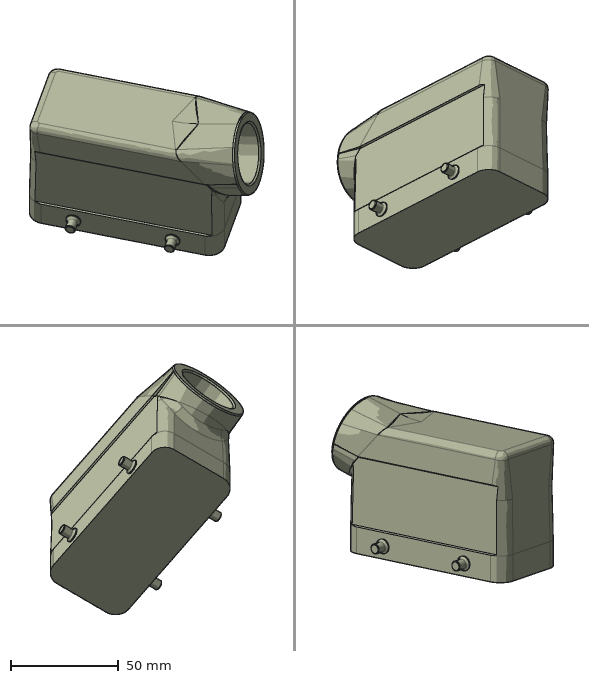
import cadquery as cq
import math

base_length = 93.6
base_width = 42.9
base_height = 12.9
base_corner_radius = 7.5
center_x = base_length / 2

roof_z = 62.5
wall_draft = 1.0
corner_change_z = 39.4
roof_corner_radius = 3.7
roof_fillet = 3.5

recess_depth = 0.7
recess_top_z = 46.7
recess_rim_slope = 0.5

outlet_tilt = 15.0
mouth_x = 101.7
mouth_z = 50.8
mouth_half_width = 19.7
mouth_half_height = 19.2
rim_length = 0.9
rim_setback = 0.3
mouth_splits = (-0.7, 9.3, 15.5, mouth_half_height)
lower_neck_setback = 0.3
lower_neck_length = 23.4
neck_blend = 4.3
ridge_reach = 6.4
ridge_end_reach = 0.3
ridge_root_ratio = 0.2

outlet_start_x = 71.1
outlet_plane_slope = 47.0

bore_diameter = 28.3
bore_depth = 21.3
bore_chamfer = 0.9

pin_diameter = 4.8
pin_tip_y = 27.8
pin_tip_diameter = 4.0
pin_foot_diameter = 7.0
pin_foot_height = 0.5
pin_spacing = 47.6
pin_z = 6.3

face_plane = cq.Plane(
    origin=(mouth_x, 0, mouth_z),
    xDir=(0, 1, 0),
    normal=(math.cos(math.radians(outlet_tilt)), 0, math.sin(math.radians(outlet_tilt))),
)
mouth_plane = cq.Workplane(face_plane).workplane(offset=-rim_length).plane


def wall_inset(z):
    """Distance the drafted wall has moved inwards at height z."""
    return max(0, z - base_height) * math.tan(math.radians(wall_draft))


def half_width_at(z):
    return base_width / 2 - wall_inset(z)


def hood_section(z, corner_radius):
    inset = wall_inset(z)
    sketch = cq.Sketch().rect(base_length - 2 * inset, base_width - 2 * inset)
    sketch = sketch.vertices().fillet(corner_radius)
    return sketch.moved(cq.Location(cq.Vector(center_x, 0, z)))


def loft_between(lower, upper):
    return cq.Workplane().placeSketch(lower, upper).loft(ruled=True)


def make_hood():
    base = cq.Workplane().placeSketch(hood_section(0, base_corner_radius)).extrude(base_height)
    bottom = hood_section(base_height, base_corner_radius)
    middle = hood_section(corner_change_z, base_corner_radius)
    top = hood_section(roof_z, roof_corner_radius)
    upper = loft_between(middle, top).faces(">Z").edges().fillet(roof_fillet)
    return base.union(loft_between(bottom, middle)).union(upper)


def make_recess():
    """Cutter with an inner face parallel to the drafted wall and sloping rims."""
    low_y = base_width / 2
    high_y = half_width_at(recess_top_z)
    profile = [
        (low_y, base_height),
        (low_y - recess_depth, base_height + recess_rim_slope),
        (high_y - recess_depth, recess_top_z - recess_rim_slope),
        (high_y, recess_top_z),
        (base_width, recess_top_z),
        (base_width, base_height),
    ]
    return cq.Workplane("YZ").polyline(profile).close().extrude(base_length)


def make_outlet_cutaway():
    """Wedge that clears the hood beyond the oblique plane to make room for the neck."""
    run = base_length
    rise = run * math.tan(math.radians(outlet_plane_slope))
    profile = [(0, 0), (run, -rise), (run, roof_z)]
    return (
        cq.Workplane("XZ", origin=(outlet_start_x, 0, roof_z))
        .polyline(profile)
        .close()
        .extrude(base_width, both=True)
    )


def outlet_start_point(y, z):
    """Point on the oblique plane at the given Y and Z."""
    x = outlet_start_x + (roof_z - z) / math.tan(math.radians(outlet_plane_slope))
    return cq.Vector(x, y, z)


def mouth_point(height, side):
    y = mouth_half_width * math.sqrt(1 - (height / mouth_half_height) ** 2)
    return mouth_plane.toWorldCoords((side * y, height, 0))


def mouth_arc(low, high, side):
    """Arc of the mouth ellipse between two heights on one side."""
    middle = mouth_point((low + high) / 2, side)
    return cq.Edge.makeThreePointArc(mouth_point(low, side), middle, mouth_point(high, side))


def make_upper_neck():
    """Ruled skin from the oblique hood section to the upper part of the mouth."""
    reach = roof_fillet * math.tan(math.radians((90 - wall_draft) / 2))
    edge_z = roof_z - reach * math.cos(math.radians(wall_draft))
    roof_y = half_width_at(roof_z) - reach
    arc_middle = math.radians((90 + wall_draft) / 2)
    bend_y = roof_y + roof_fillet * math.cos(arc_middle)
    bend_z = roof_z - roof_fillet * (1 - math.sin(arc_middle))

    ridge = outlet_start_point(0, roof_z)
    start_edges = []
    start_feet = []
    mouth_edges = []
    mouth_feet = []
    for side in (1, -1):
        foot = outlet_start_point(side * half_width_at(recess_top_z), recess_top_z)
        edge = outlet_start_point(side * half_width_at(edge_z), edge_z)
        bend = outlet_start_point(side * bend_y, bend_z)
        shoulder = outlet_start_point(side * roof_y, roof_z)
        start_edges += [
            cq.Edge.makeLine(foot, edge),
            cq.Edge.makeThreePointArc(edge, bend, shoulder),
            cq.Edge.makeLine(shoulder, ridge),
        ]
        start_feet.append(foot)
        mouth_edges += [mouth_arc(low, high, side) for low, high in zip(mouth_splits, mouth_splits[1:])]
        mouth_feet.append(mouth_point(mouth_splits[0], side))
    start_wire = cq.Wire.assembleEdges(start_edges + [cq.Edge.makeLine(*start_feet)])
    mouth_wire = cq.Wire.assembleEdges(mouth_edges + [cq.Edge.makeLine(*mouth_feet)])
    return cq.Workplane(cq.Solid.makeLoft([start_wire, mouth_wire], True))


def ridge_profile(y, mouth_height, reach):
    """Closed outline whose upper edge is an arc tangent to the roof and ending on the neck."""
    start = outlet_start_point(y, roof_z)
    rise = mouth_point(mouth_height, 1) - start
    slope = math.atan2(rise.z, rise.x)
    on_roof = start - cq.Vector(reach, 0, 0)
    on_neck = start + cq.Vector(math.cos(slope), 0, math.sin(slope)) * reach
    root = start - cq.Vector(0, 0, reach * ridge_root_ratio)
    return cq.Wire.assembleEdges([
        cq.Edge.makeTangentArc(on_roof, cq.Vector(1, 0, 0), on_neck),
        cq.Edge.makeLine(on_neck, root),
        cq.Edge.makeLine(root, on_roof),
    ])


def make_ridge_blend():
    """Easing of the roof into the neck, widest at the middle and fading out at the shoulders."""
    shoulder_y = half_width_at(roof_z) - roof_fillet
    middle = ridge_profile(0, mouth_half_height, ridge_reach)
    end = ridge_profile(shoulder_y, mouth_splits[2], ridge_end_reach)
    half = cq.Workplane(cq.Solid.makeLoft([middle, end], True))
    return half.union(half.mirror("XZ"))


def make_lower_neck():
    """Elliptical barrel with flat sides below the mouth axis, running back into the hood."""
    barrel = (
        cq.Workplane(mouth_plane)
        .ellipse(mouth_half_width, mouth_half_height)
        .extrude(-lower_neck_length)
    )
    lower_half = (
        cq.Workplane(mouth_plane)
        .center(0, -mouth_half_height)
        .rect(2 * (mouth_half_width - lower_neck_setback), 2 * mouth_half_height)
        .extrude(-lower_neck_length)
    )
    return barrel.intersect(lower_half)


def make_rim():
    """Bevelled lip that ends at the outlet face."""
    return (
        cq.Workplane(mouth_plane)
        .ellipse(mouth_half_width, mouth_half_height)
        .workplane(offset=rim_length)
        .ellipse(mouth_half_width - rim_setback, mouth_half_height - rim_setback)
        .loft(ruled=True)
    )


def make_bore():
    radius = bore_diameter / 2
    bore = cq.Workplane(face_plane).circle(radius).extrude(-bore_depth)
    bevel = cq.Solid.makeCone(
        radius + bore_chamfer, radius, bore_chamfer, face_plane.origin, -face_plane.zDir
    )
    return bore.union(cq.Workplane(bevel))


def make_pin_pair(x):
    """Two opposite pins, each with a short foot, a flare up to the shaft and a chamfered tip."""
    radius = pin_diameter / 2
    flare = (pin_foot_diameter - pin_diameter) / 2
    tip_chamfer = (pin_diameter - pin_tip_diameter) / 2
    foot_y = base_width / 2 + pin_foot_height
    flare_mid = flare * (1 - math.sqrt(0.5))
    half_profile = (
        cq.Workplane("XY")
        .lineTo(radius + flare, 0)
        .lineTo(radius + flare, foot_y)
        .threePointArc((radius + flare_mid, foot_y + flare_mid), (radius, foot_y + flare))
        .lineTo(radius, pin_tip_y - tip_chamfer)
        .lineTo(radius - tip_chamfer, pin_tip_y)
        .lineTo(0, pin_tip_y)
        .close()
    )
    pin = half_profile.revolve(360, (0, 0), (0, 1))
    return pin.union(pin.mirror("XZ")).translate((x, 0, pin_z))


def make_blended_hood():
    """Hood with a concave blend between its end wall and the underside of the outlet."""
    joined = make_hood().union(make_lower_neck())
    under_neck = (base_length, 0, mouth_z - mouth_half_height)
    underside_edge = joined.edges(cq.selectors.NearestToPointSelector(under_neck))
    return underside_edge.fillet(neck_blend)


recess = make_recess()
result = (
    make_blended_hood()
    .cut(make_outlet_cutaway())
    .cut(recess)
    .cut(recess.mirror("XZ"))
    .union(make_lower_neck())
    .union(make_upper_neck())
    .union(make_ridge_blend())
    .union(make_rim())
    .cut(make_bore())
)
for side in (-1, 1):
    result = result.union(make_pin_pair(center_x + side * pin_spacing / 2))